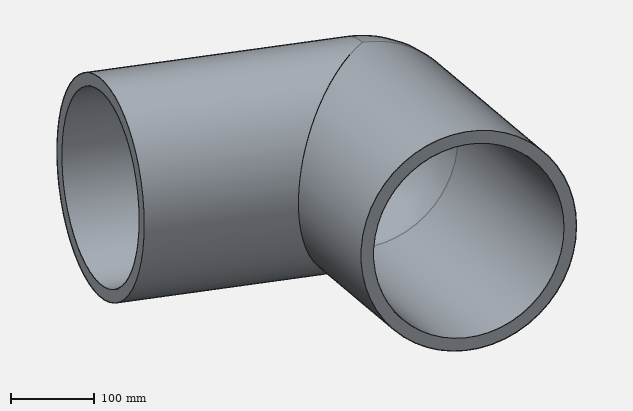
import cadquery as cq

overall_length = 480.0
outer_diameter = 280.0
wall_thickness = 16.5

outer_radius = outer_diameter / 2
inner_radius = outer_radius - wall_thickness
leg_length = overall_length - outer_radius


def elbow_body(radius):
    """Two cylinders along +X and -Y, joined by a sphere at the corner."""
    leg_along_x = cq.Workplane("YZ").circle(radius).extrude(leg_length)
    leg_along_y = cq.Workplane("XZ").circle(radius).extrude(leg_length)
    corner = cq.Workplane("XY").sphere(radius)
    return leg_along_x.union(leg_along_y).union(corner)


result = elbow_body(outer_radius).cut(elbow_body(inner_radius))